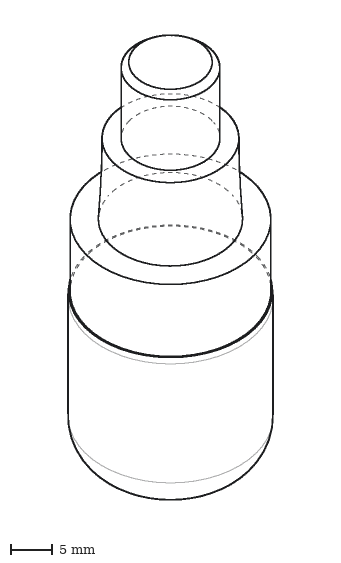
import cadquery as cq

total_height = 62.75
cap_radius = 12.5
rim_radius = 12.4
collar_radius = 12.25
neck_base_radius = 8.8
neck_top_radius = 8.35
pin_radius = 6.0
pin_tip_radius = 5.1

cap_height = 26.05
collar_height = 11.55
neck_height = 13.0

foot_fillet = 6.0
rim_taper_height = 0.95
pin_chamfer_height = 0.9

collar_top = cap_height + collar_height
neck_top = collar_top + neck_height


def neck_flare_radius():
    """Radius of the concave neck arc that runs vertically into the neck's top edge."""
    spread = neck_base_radius - neck_top_radius
    return (neck_height**2 + spread**2) / (2 * spread)


def make_cap():
    """Solid round cap with a rounded foot and a slightly tapered upper rim."""
    rim_start = cap_height - rim_taper_height
    profile = (
        cq.Workplane("XZ")
        .lineTo(cap_radius - foot_fillet, 0)
        .radiusArc((cap_radius, foot_fillet), -foot_fillet)
        .lineTo(cap_radius, rim_start)
        .lineTo(rim_radius, cap_height)
        .lineTo(0, cap_height)
        .close()
    )
    return profile.revolve(360, (0, 0, 0), (0, 1, 0))


def make_stud():
    """Stepped stud on the cap: collar, concave flared neck and chamfered pin."""
    profile = (
        cq.Workplane("XZ")
        .moveTo(0, cap_height)
        .lineTo(collar_radius, cap_height)
        .lineTo(collar_radius, collar_top)
        .lineTo(neck_base_radius, collar_top)
        .radiusArc((neck_top_radius, neck_top), neck_flare_radius())
        .lineTo(pin_radius, neck_top)
        .lineTo(pin_radius, total_height - pin_chamfer_height)
        .lineTo(pin_tip_radius, total_height)
        .lineTo(0, total_height)
        .close()
    )
    return profile.revolve(360, (0, 0, 0), (0, 1, 0))


cap = make_cap()
stud = make_stud()

result = cq.Compound.makeCompound([cap.val(), stud.val()])